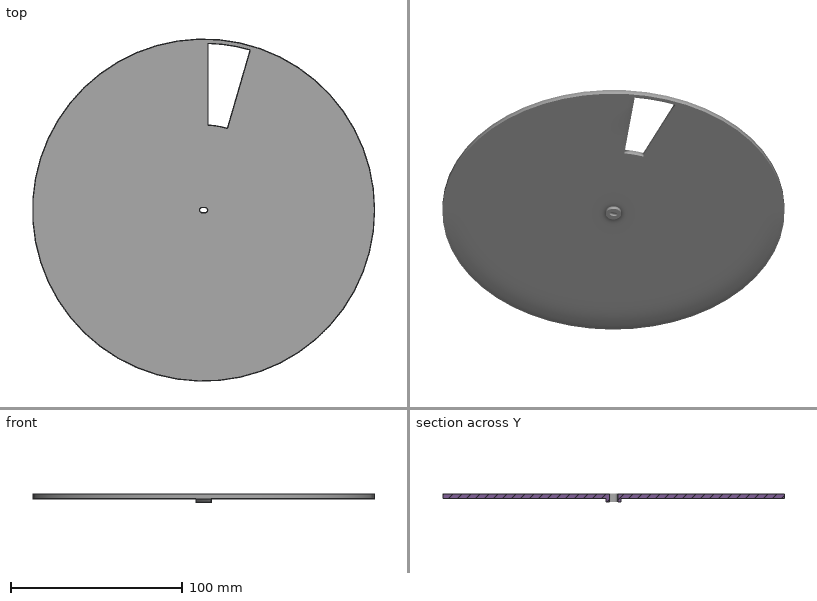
import cadquery as cq
import math

disc_diameter = 200.0
disc_thickness = 3.0
hub_diameter = 9.0
hub_height = 2.0

shaft_hole_length = 4.5
shaft_hole_width = 3.0

window_outer_radius = 97.5
window_inner_radius = 49.8
window_left_x = 2.5
window_angle = 16.2

total_height = disc_thickness + hub_height


def polar_point(radius, angle):
    """Point at an angle in radians, measured clockwise from +Y."""
    return (radius * math.sin(angle), radius * math.cos(angle))


def make_window():
    """Cutter for the window through the disc."""
    right_angle = math.radians(window_angle)
    outer_left_angle = math.asin(window_left_x / window_outer_radius)
    inner_left_angle = math.asin(window_left_x / window_inner_radius)
    outer_middle_angle = (outer_left_angle + right_angle) / 2
    inner_middle_angle = (inner_left_angle + right_angle) / 2
    return (
        cq.Workplane("XY")
        .moveTo(*polar_point(window_inner_radius, inner_left_angle))
        .lineTo(*polar_point(window_outer_radius, outer_left_angle))
        .threePointArc(
            polar_point(window_outer_radius, outer_middle_angle),
            polar_point(window_outer_radius, right_angle),
        )
        .lineTo(*polar_point(window_inner_radius, right_angle))
        .threePointArc(
            polar_point(window_inner_radius, inner_middle_angle),
            polar_point(window_inner_radius, inner_left_angle),
        )
        .close()
        .extrude(disc_thickness)
    )


def make_shaft_hole():
    """Cutter for the round-ended slot through the disc and hub, longer along X."""
    return (
        cq.Workplane("XY", origin=(0, 0, -hub_height))
        .slot2D(shaft_hole_length, shaft_hole_width)
        .extrude(total_height)
    )


disc = cq.Workplane("XY").circle(disc_diameter / 2).extrude(disc_thickness)
hub = cq.Workplane("XY").circle(hub_diameter / 2).extrude(-hub_height)
result = disc.union(hub).cut(make_window()).cut(make_shaft_hole())